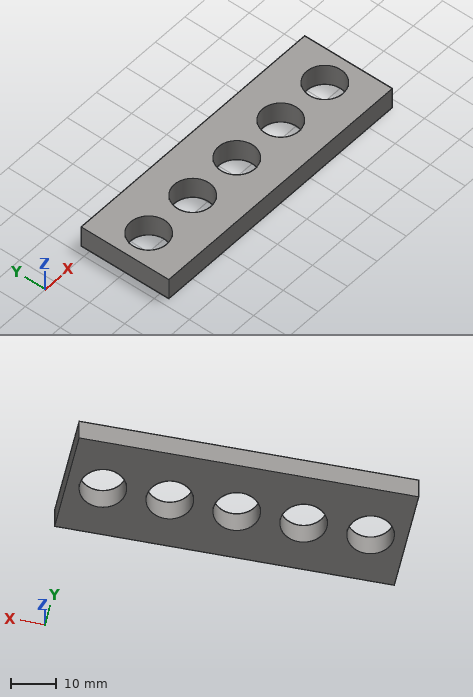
import cadquery as cq

length = 76.0
width = 25.0
thickness = 6.0

hole_count = 5
hole_diameter = 10.4
hole_pitch = 15.0

bar = cq.Workplane("XY").box(length, width, thickness)

result = (
    bar.faces(">Z")
    .workplane()
    .rarray(hole_pitch, 0.75, hole_count, 1)
    .hole(hole_diameter)
)